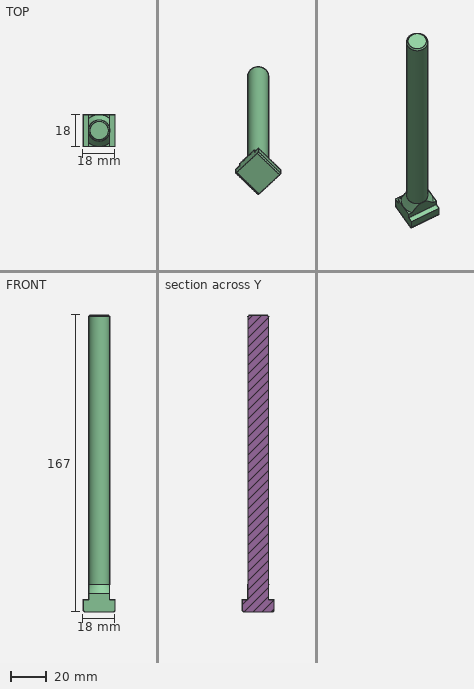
import cadquery as cq
import math

total_length = 167.0

head_width = 18.0
flange_height = 7.0
neck_width = 11.75
neck_top = 10.45
bottom_chamfer = 0.9

shank_radius = 6.0
tip_chamfer = 0.85

cone_base_radius = head_width / 2
cone_slope_angle = 60.0
cone_height = (cone_base_radius - shank_radius) * math.tan(math.radians(cone_slope_angle))
shank_start = neck_top + cone_height


def centred_block(width, bottom, top):
    """Block of the given X width and full head depth, between two heights."""
    block = cq.Workplane("XY").workplane(offset=bottom)
    return block.rect(width, head_width).extrude(top - bottom)


def make_head():
    """T profile extruded along Y, with its lower side edges bevelled."""
    half_flange = head_width / 2
    half_neck = neck_width / 2
    half_bottom = half_flange - bottom_chamfer
    profile = (
        cq.Workplane("XZ")
        .moveTo(-half_bottom, 0)
        .lineTo(half_bottom, 0)
        .lineTo(half_flange, bottom_chamfer)
        .lineTo(half_flange, flange_height)
        .lineTo(half_neck, flange_height)
        .lineTo(half_neck, neck_top)
        .lineTo(-half_neck, neck_top)
        .lineTo(-half_neck, flange_height)
        .lineTo(-half_flange, flange_height)
        .lineTo(-half_flange, bottom_chamfer)
        .close()
    )
    return profile.extrude(half_flange, both=True)


def make_transition():
    """Cone trimmed flush with the flat sides of the neck."""
    cone = cq.Workplane(
        cq.Solid.makeCone(cone_base_radius, shank_radius, cone_height, pnt=cq.Vector(0, 0, neck_top))
    )
    return cone.intersect(centred_block(neck_width, neck_top, shank_start))


def make_shank():
    """Round shank with a small bevel at the tip."""
    shank = cq.Workplane("XY").workplane(offset=shank_start)
    shank = shank.circle(shank_radius).extrude(total_length - shank_start)
    return shank.faces(">Z").chamfer(tip_chamfer)


result = make_head().union(make_transition()).union(make_shank())